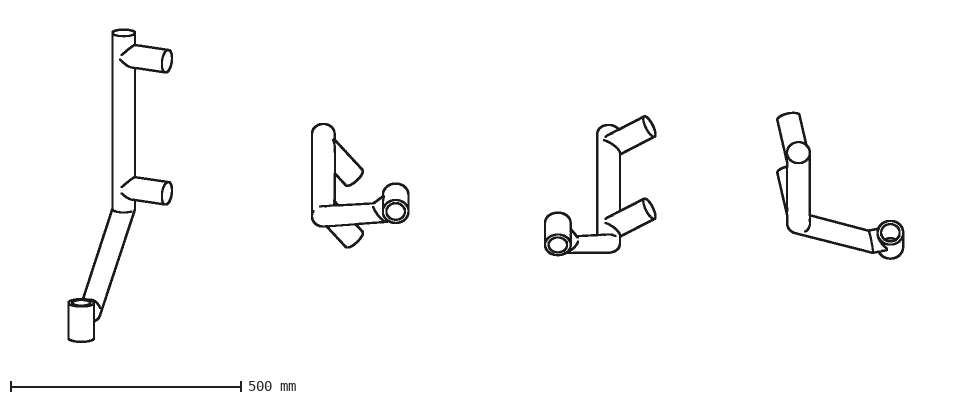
import cadquery as cq

total_height = 637.5
tube_diameter = 50.0
tube_radius = tube_diameter / 2

sleeve_diameter = 56.0
sleeve_bore = 40.0
sleeve_height = 80.0

post_length = 400.0
post_y = 204.0
post_base_z = total_height - post_length

arm_reach = 105.0
arm_drop = tube_diameter
arm_spacing = 300.0
upper_arm_z = total_height - arm_drop

stub_end_y = 44.0
stub_z = 51.0


def make_sleeve():
    return cq.Workplane("XY").circle(sleeve_diameter / 2).extrude(sleeve_height)


def make_post():
    base = cq.Workplane("XY", origin=(0, post_y, post_base_z))
    return base.circle(tube_radius).extrude(post_length)


def make_arm(height):
    start = cq.Workplane("YZ", origin=(0, post_y, height))
    return start.circle(tube_radius).extrude(arm_reach)


def make_stub():
    start = cq.Workplane("XZ", origin=(0, 0, stub_z))
    return start.circle(tube_radius).extrude(-stub_end_y)


def make_strut():
    stub_plane = cq.Plane(origin=(0, stub_end_y, stub_z), xDir=(0, 0, -1), normal=(0, 1, 0))
    post_plane = cq.Plane(origin=(0, post_y, post_base_z), xDir=(0, 1, 0), normal=(0, 0, 1))
    stub_end = cq.Workplane(stub_plane).circle(tube_radius).wires().val()
    post_base = cq.Workplane(post_plane).circle(tube_radius).wires().val()
    return cq.Workplane(obj=cq.Solid.makeLoft([stub_end, post_base], True))


result = make_sleeve().union(make_stub()).union(make_strut()).union(make_post())
for arm_z in (upper_arm_z, upper_arm_z - arm_spacing):
    result = result.union(make_arm(arm_z))

bore = cq.Workplane("XY").circle(sleeve_bore / 2).extrude(sleeve_height)
result = result.cut(bore)